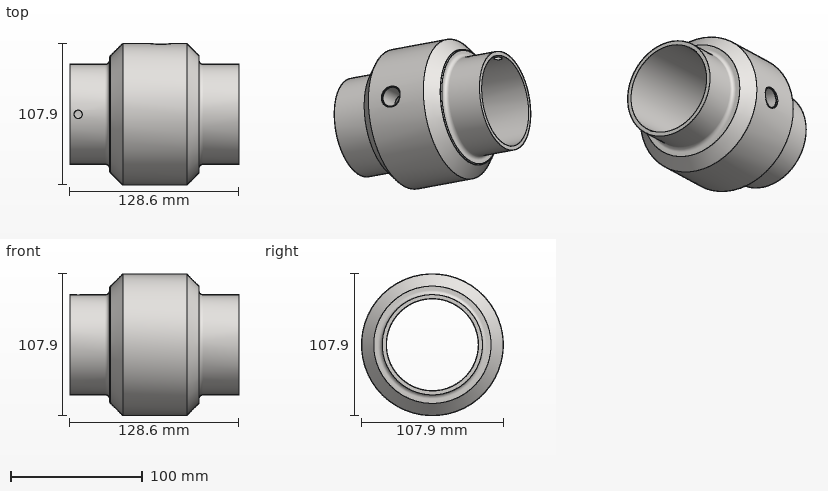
import cadquery as cq

total_length = 128.6
bore_radius = 69.8 / 2
pipe_radius = 76.3 / 2
neck_fillet = 3.1

barrel_radius = 107.9 / 2
shoulder_radius = 44.6
shoulder_length = barrel_radius - shoulder_radius
barrel_start = 40.2
barrel_end = 88.9
housing_face = barrel_start - shoulder_length
shoulder_end = barrel_end + shoulder_length

flange_radius = 88.9 / 2
flange_chamfer = 0.8
flange_start = 30.1
flange_end = 44.1

port_diameter = 15.0
port_recess_diameter = 16.5
port_recess_depth = 1.3
port_x = 69.2
pin_hole_diameter = 6.3
pin_hole_x = 6.3


def cylinder(radius, start, end):
    """Solid cylinder along X between two positions."""
    return cq.Workplane("YZ").workplane(offset=start).circle(radius).extrude(end - start)


def revolve_about_x(profile):
    """Full turn of an XY profile about the X axis."""
    return profile.close().revolve(360, (0, 0, 0), (1, 0, 0))


def neck_arc_middle(face_x, direction):
    """Middle point of the concave fillet between a face and its pipe."""
    offset = neck_fillet * (1 - 0.5 ** 0.5)
    return (face_x + direction * offset, pipe_radius + offset)


def make_housing():
    outline = (
        cq.Workplane("XY")
        .moveTo(housing_face, bore_radius)
        .lineTo(housing_face, shoulder_radius)
        .lineTo(barrel_start, barrel_radius)
        .lineTo(barrel_end, barrel_radius)
        .lineTo(shoulder_end, shoulder_radius)
        .lineTo(shoulder_end, pipe_radius + neck_fillet)
        .threePointArc(neck_arc_middle(shoulder_end, 1), (shoulder_end + neck_fillet, pipe_radius))
        .lineTo(total_length, pipe_radius)
        .lineTo(total_length, bore_radius)
    )
    body = revolve_about_x(outline)

    body = body.cut(cylinder(flange_radius, housing_face, flange_end))

    port = (
        cq.Workplane("XZ", origin=(port_x, 0, 0))
        .circle(port_diameter / 2)
        .extrude(-barrel_radius)
    )
    port_recess = (
        cq.Workplane("XZ", origin=(port_x, barrel_radius, 0))
        .circle(port_recess_diameter / 2)
        .extrude(port_recess_depth)
    )
    return body.cut(port).cut(port_recess)


def make_insert():
    outline = (
        cq.Workplane("XY")
        .moveTo(0, bore_radius)
        .lineTo(0, pipe_radius)
        .lineTo(flange_start - neck_fillet, pipe_radius)
        .threePointArc(neck_arc_middle(flange_start, -1), (flange_start, pipe_radius + neck_fillet))
        .lineTo(flange_start, flange_radius - flange_chamfer)
        .lineTo(flange_start + flange_chamfer, flange_radius)
        .lineTo(flange_end, flange_radius)
        .lineTo(flange_end, bore_radius)
    )
    body = revolve_about_x(outline)

    pin_hole = (
        cq.Workplane("XY", origin=(pin_hole_x, 0, 0))
        .circle(pin_hole_diameter / 2)
        .extrude(pipe_radius)
    )
    return body.cut(pin_hole)


housing = make_housing()
insert = make_insert()

result = cq.Compound.makeCompound([housing.val(), insert.val()])